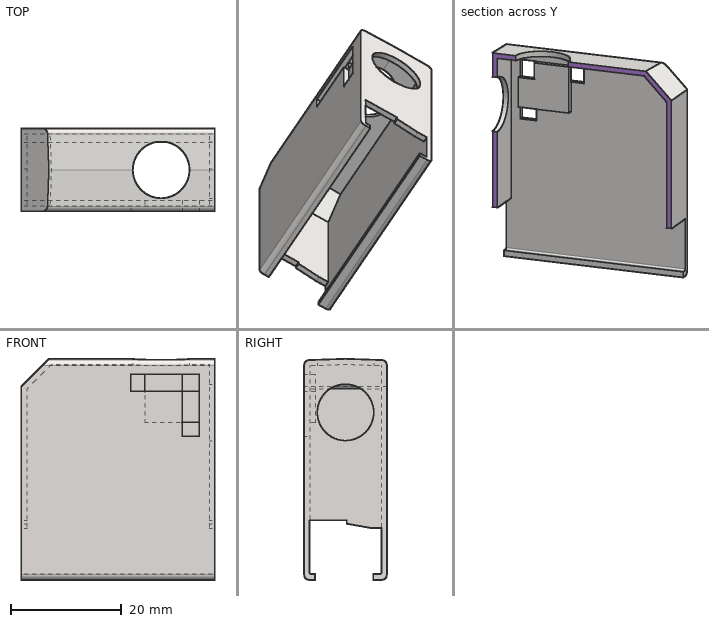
import cadquery as cq
import math

LENGTH = 35.0
WIDTH = 15.0
HEIGHT = 40.0
WALL = 1.0
EDGE_RADIUS = 1.0
NOSE_CHAMFER = 5.0
ROOF_DROP = 0.26

LIP_HEIGHT = 1.1
LIP_REACH_BACK = 2.5
LIP_REACH_FRONT = 2.0
LIP_FILLET = 0.3

MOUTH_FRONT_Z = 10.8
MOUTH_BACK_Z = 9.4
MOUTH_STEP_Y = 0.2
MOUTH_SLOPE_Y = 4.5
MOUTH_SLOPE_ANGLE = 10.0

HOLE_DIAMETER = 10.2
HOLE_INSET = 9.7

SLOT_WIDTH = 3.1
SLOT_INSET = 2.8
SLOT_LENGTH_X = 12.4
SLOT_LENGTH_Z = 11.2
SLOT_OPEN_END = 2.5
PAD_THICKNESS = 1.0

HALF_LENGTH = LENGTH / 2
HALF_WIDTH = WIDTH / 2
INNER_HALF_WIDTH = HALF_WIDTH - WALL
SLOT_RIGHT = HALF_LENGTH - SLOT_INSET
SLOT_TOP = HEIGHT - SLOT_INSET


def box(x0, x1, y0, y1, z0, z1):
    """Axis-aligned box between two opposite corners."""
    return cq.Workplane("XY").box(x1 - x0, y1 - y0, z1 - z0, centered=False).translate((x0, y0, z0))


def outer_body():
    """Ridge-roofed bar with rounded long edges and a chamfered nose."""
    eave_z = HEIGHT - ROOF_DROP
    section = [
        (-HALF_WIDTH, 0),
        (HALF_WIDTH, 0),
        (HALF_WIDTH, eave_z),
        (0, HEIGHT),
        (-HALF_WIDTH, eave_z),
    ]
    bar = cq.Workplane("YZ").polyline(section).close().extrude(LENGTH).translate((-HALF_LENGTH, 0, 0))
    for y_side in ("<Y", ">Y"):
        bar = bar.faces(y_side).edges("|X").fillet(EDGE_RADIUS)
    nose = [
        (-HALF_LENGTH, HEIGHT - NOSE_CHAMFER),
        (-HALF_LENGTH, HEIGHT),
        (-HALF_LENGTH + NOSE_CHAMFER, HEIGHT),
    ]
    return bar.cut(cq.Workplane("XZ").polyline(nose).close().extrude(HALF_WIDTH, both=True))


def cavity():
    """Inner space between the walls, above the mouth of the housing."""
    roof_z = HEIGHT - WALL
    ceiling_drop = ROOF_DROP * INNER_HALF_WIDTH / HALF_WIDTH
    section = [
        (-INNER_HALF_WIDTH, LIP_HEIGHT + LIP_FILLET),
        (INNER_HALF_WIDTH, LIP_HEIGHT + LIP_FILLET),
        (INNER_HALF_WIDTH, roof_z - ceiling_drop),
        (0, roof_z),
        (-INNER_HALF_WIDTH, roof_z - ceiling_drop),
    ]
    inner_length = LENGTH - 2 * WALL
    space = cq.Workplane("YZ").polyline(section).close().extrude(inner_length)
    space = space.translate((WALL - HALF_LENGTH, 0, 0))
    inner_chamfer = NOSE_CHAMFER - WALL * (2 - math.sqrt(2))
    nose = [
        (WALL - HALF_LENGTH, roof_z - inner_chamfer),
        (WALL - HALF_LENGTH, roof_z),
        (WALL - HALF_LENGTH + inner_chamfer, roof_z),
    ]
    return space.cut(cq.Workplane("XZ").polyline(nose).close().extrude(HALF_WIDTH, both=True))


def mouth():
    """Opening along the full length: stepped upper edge, lips at the bottom."""
    slope_rise = (MOUTH_SLOPE_Y - MOUTH_STEP_Y) * math.tan(math.radians(MOUTH_SLOPE_ANGLE))
    section = [
        (-INNER_HALF_WIDTH, LIP_HEIGHT),
        (INNER_HALF_WIDTH, LIP_HEIGHT),
        (INNER_HALF_WIDTH, MOUTH_BACK_Z),
        (MOUTH_SLOPE_Y, MOUTH_BACK_Z),
        (MOUTH_STEP_Y, MOUTH_BACK_Z + slope_rise),
        (MOUTH_STEP_Y, MOUTH_FRONT_Z),
        (-INNER_HALF_WIDTH, MOUTH_FRONT_Z),
    ]
    opening = cq.Workplane("YZ").polyline(section).close().extrude(LENGTH).translate((-HALF_LENGTH, 0, 0))
    opening = opening.faces("<Z").edges("|X").fillet(LIP_FILLET)
    gap_between_lips = box(
        -HALF_LENGTH, HALF_LENGTH,
        LIP_REACH_FRONT - HALF_WIDTH, HALF_WIDTH - LIP_REACH_BACK,
        0, MOUTH_BACK_Z,
    )
    return opening.union(gap_between_lips)


def cable_holes():
    """One hole down through the roof and one through the +X wall."""
    hole_x = HALF_LENGTH - HOLE_INSET
    hole_z = HEIGHT - HOLE_INSET
    depth = 2 * WALL
    roof_hole = cq.Workplane("XY", origin=(hole_x, 0, HEIGHT - depth)).circle(HOLE_DIAMETER / 2).extrude(depth)
    end_hole = cq.Workplane("YZ", origin=(HALF_LENGTH - depth, 0, hole_z)).circle(HOLE_DIAMETER / 2).extrude(depth)
    return roof_hole.union(end_hole)


def slot():
    """L-shaped cut through the -Y wall."""
    y_range = (-HALF_WIDTH, -INNER_HALF_WIDTH)
    along_x = box(SLOT_RIGHT - SLOT_LENGTH_X, SLOT_RIGHT, *y_range, SLOT_TOP - SLOT_WIDTH, SLOT_TOP)
    along_z = box(SLOT_RIGHT - SLOT_WIDTH, SLOT_RIGHT, *y_range, SLOT_TOP - SLOT_LENGTH_Z, SLOT_TOP)
    return along_x.union(along_z)


def pad():
    """Plate on the inner face behind the slot, open at the slot corner."""
    y_range = (-INNER_HALF_WIDTH, PAD_THICKNESS - INNER_HALF_WIDTH)
    left = SLOT_RIGHT - SLOT_LENGTH_X + SLOT_OPEN_END
    bottom = SLOT_TOP - SLOT_LENGTH_Z + SLOT_OPEN_END
    plate = box(left, SLOT_RIGHT, *y_range, bottom, SLOT_TOP)
    corner = box(SLOT_RIGHT - SLOT_WIDTH, SLOT_RIGHT, *y_range, SLOT_TOP - SLOT_WIDTH, SLOT_TOP)
    return plate.cut(corner)


housing = outer_body().cut(cavity()).cut(mouth())
housing = housing.cut(cable_holes()).cut(slot())
result = housing.union(pad())